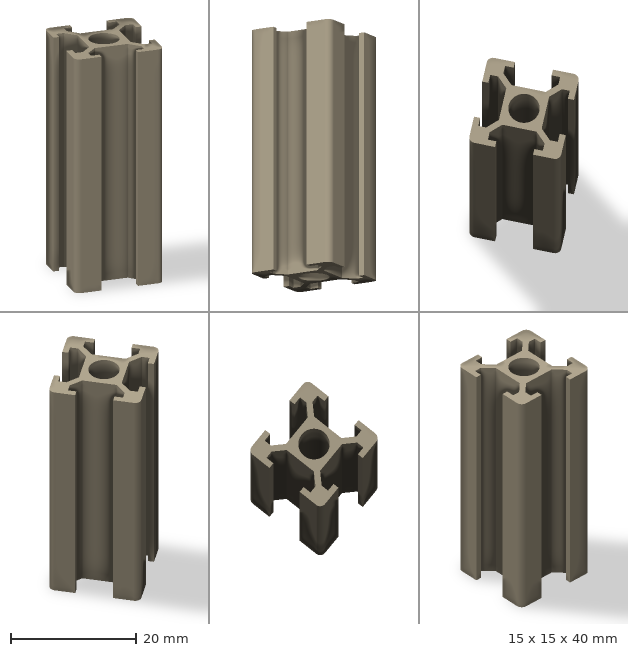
import cadquery as cq
import math

profile_width = 15.0
length = 40.0
corner_radius = 1.0
bore_diameter = 5.0

slot_opening = 6.2
lip_thickness = 1.0
undercut_width = 9.0
core_width = 7.0
web_thickness = 1.0

half_width = profile_width / 2
half_opening = slot_opening / 2
half_undercut = undercut_width / 2
lip_inner = half_width - lip_thickness
slot_floor = core_width / 2

web_offset = web_thickness / math.sqrt(2)
half_floor = slot_floor - web_offset
flank_top = half_undercut + web_offset


def make_body():
    """Square bar with rounded long edges."""
    bar = cq.Workplane("XY").rect(profile_width, profile_width).extrude(length)
    return bar.edges("|Z").fillet(corner_radius)


def make_slot():
    """Full-length T-slot cutter for the +Y side face."""
    right_side = [
        (half_floor, slot_floor),
        (half_undercut, flank_top),
        (half_undercut, lip_inner),
        (half_opening, lip_inner),
        (half_opening, half_width),
    ]
    left_side = [(-x, y) for x, y in reversed(right_side)]
    return cq.Workplane("XY").polyline(right_side + left_side).close().extrude(length)


def make_bore():
    """Round bore through the core."""
    return cq.Workplane("XY").circle(bore_diameter / 2).extrude(length)


result = make_body()
slot = make_slot()
for angle in (0, 90, 180, 270):
    result = result.cut(slot.rotate((0, 0, 0), (0, 0, 1), angle))
result = result.cut(make_bore())